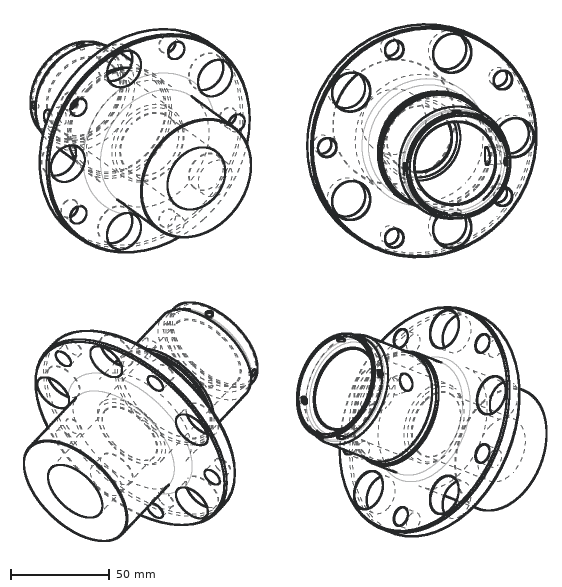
import cadquery as cq
import math

length = 122.4
flange_diameter = 119.6

lock_land_end = 5.8
journal_start = 8.5
journal_end = 41.0
shoulder_face = 43.6
flange_left = 64.9
flange_right = 74.2

lock_radius = 27.5
journal_radius = 29.1
groove_radius = 27.9
shoulder_radius = 30.4
tail_radius = 32.4
flange_radius = flange_diameter / 2

lock_end_chamfer = 0.4
lock_fillet = 1.5
groove_chamfer_length = 0.9
groove_fillet = 1.2
shoulder_chamfer = 0.9
flange_left_fillet = 2.7
flange_right_fillet = 6.5
flange_chamfer_length = 1.1
flange_chamfer_height = 0.7
tail_chamfer = 0.4

counterbore_radius = 26.0
counterbore_depth = 6.7
counterbore_fillet = 1.2
bore_radius = 21.3
bore_chamfer = 0.5
bore_floor = flange_right
bore_floor_chamfer = 1.3
through_radius = 17.0
through_chamfer = 0.4

pin_hole_diameter = 3.9
pin_hole_x = 4.2
pin_hole_count = 4
port_diameter = 9.2
port_x = 21.8

flange_hole_count = 5
flange_hole_chamfer = 0.2
large_hole_diameter = 20.0
large_hole_circle_radius = 47.9
small_hole_diameter = 9.5
small_hole_circle_radius = 51.4


def corner_arc(profile, center, radius, start_degrees, end_degrees):
    """Continue a profile with a circular arc from its current point."""

    def on_arc(degrees):
        angle = math.radians(degrees)
        return (center[0] + radius * math.cos(angle), center[1] + radius * math.sin(angle))

    middle_degrees = (start_degrees + end_degrees) / 2
    return profile.threePointArc(on_arc(middle_degrees), on_arc(end_degrees))


def outer_body():
    """Solid of revolution about X: lock land, journal, shoulder, flange and tail."""
    profile = cq.Workplane("XY").moveTo(0, 0).lineTo(0, lock_radius - lock_end_chamfer)
    profile = profile.lineTo(lock_end_chamfer, lock_radius).lineTo(lock_land_end, lock_radius)

    lock_arc_center = (lock_land_end, lock_radius + lock_fillet)
    profile = corner_arc(profile, lock_arc_center, lock_fillet, -90, -45)
    profile = profile.lineTo(journal_start, journal_radius).lineTo(journal_end, journal_radius)

    profile = profile.lineTo(journal_end + groove_chamfer_length, groove_radius)
    profile = profile.lineTo(shoulder_face - groove_fillet, groove_radius)
    groove_arc_center = (shoulder_face - groove_fillet, groove_radius + groove_fillet)
    profile = corner_arc(profile, groove_arc_center, groove_fillet, -90, 0)
    profile = profile.lineTo(shoulder_face, shoulder_radius - shoulder_chamfer)
    profile = profile.lineTo(shoulder_face + shoulder_chamfer, shoulder_radius)

    profile = profile.lineTo(flange_left - flange_left_fillet, shoulder_radius)
    left_arc_center = (flange_left - flange_left_fillet, shoulder_radius + flange_left_fillet)
    profile = corner_arc(profile, left_arc_center, flange_left_fillet, -90, 0)
    profile = profile.lineTo(flange_left, flange_radius - flange_chamfer_height)
    profile = profile.lineTo(flange_left + flange_chamfer_length, flange_radius)
    profile = profile.lineTo(flange_right - flange_chamfer_length, flange_radius)
    profile = profile.lineTo(flange_right, flange_radius - flange_chamfer_height)
    profile = profile.lineTo(flange_right, tail_radius + flange_right_fillet)
    right_arc_center = (flange_right + flange_right_fillet, tail_radius + flange_right_fillet)
    profile = corner_arc(profile, right_arc_center, flange_right_fillet, 180, 270)

    profile = profile.lineTo(length - tail_chamfer, tail_radius)
    profile = profile.lineTo(length, tail_radius - tail_chamfer).lineTo(length, 0)
    return profile.close().revolve(360, (0, 0, 0), (1, 0, 0))


def stepped_bore():
    """Cutter for the counterbore, the main bore and the smaller through hole."""
    profile = cq.Workplane("XY").moveTo(0, 0).lineTo(0, counterbore_radius)
    profile = profile.lineTo(counterbore_depth - counterbore_fillet, counterbore_radius)
    counterbore_arc_center = (counterbore_depth - counterbore_fillet, counterbore_radius - counterbore_fillet)
    profile = corner_arc(profile, counterbore_arc_center, counterbore_fillet, 90, 0)
    profile = profile.lineTo(counterbore_depth, bore_radius + bore_chamfer)
    profile = profile.lineTo(counterbore_depth + bore_chamfer, bore_radius)
    profile = profile.lineTo(bore_floor - bore_floor_chamfer, bore_radius)
    profile = profile.lineTo(bore_floor, bore_radius - bore_floor_chamfer)
    profile = profile.lineTo(bore_floor, through_radius + through_chamfer)
    profile = profile.lineTo(bore_floor + through_chamfer, through_radius)
    profile = profile.lineTo(length, through_radius).lineTo(length, 0)
    return profile.close().revolve(360, (0, 0, 0), (1, 0, 0))


def radial_hole(x, diameter, angle):
    """Cutter from the axis outward; angle 0 points to -Y and turns about X."""
    hole = cq.Workplane("XZ", origin=(x, 0, 0)).circle(diameter / 2).extrude(flange_radius)
    return hole.rotate((0, 0, 0), (1, 0, 0), angle)


def flange_hole(diameter):
    """Cutter on the X axis through the flange and its tail blend, chamfered at the left face."""
    radius = diameter / 2
    hole_end = flange_right + flange_right_fillet
    return (
        cq.Workplane("XY")
        .moveTo(flange_left, 0)
        .lineTo(flange_left, radius + flange_hole_chamfer)
        .lineTo(flange_left + flange_hole_chamfer, radius)
        .lineTo(hole_end, radius)
        .lineTo(hole_end, 0)
        .close()
        .revolve(360, (0, 0, 0), (1, 0, 0))
    )


result = outer_body().cut(stepped_bore())

for index in range(pin_hole_count):
    result = result.cut(radial_hole(pin_hole_x, pin_hole_diameter, index * 360 / pin_hole_count))
result = result.cut(radial_hole(port_x, port_diameter, 0))

for index in range(flange_hole_count):
    angle = index * 360 / flange_hole_count
    large_hole = flange_hole(large_hole_diameter).translate((0, -large_hole_circle_radius, 0))
    small_hole = flange_hole(small_hole_diameter).translate((0, small_hole_circle_radius, 0))
    result = result.cut(large_hole.rotate((0, 0, 0), (1, 0, 0), angle))
    result = result.cut(small_hole.rotate((0, 0, 0), (1, 0, 0), angle))